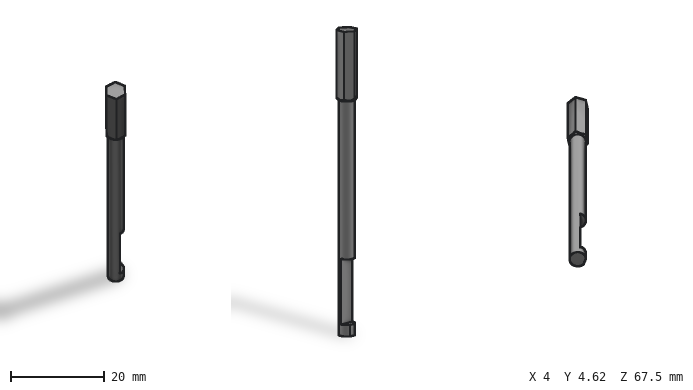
import cadquery as cq
import math

total_length = 67.5
hex_flats = 4.0
head_length = 15.5
cone_height = 0.55
shaft_diameter = 3.5
notch_top = 17.1
hook_height = 2.55
hook_reach = 1.6

hex_corners = hex_flats / math.cos(math.pi / 6)
corner_radius = hex_corners / 2
shaft_radius = shaft_diameter / 2
head_bottom = total_length - head_length


def hex_head():
    """Hexagonal drive whose lower corners taper conically to the shaft."""
    prism = (
        cq.Workplane("XY")
        .workplane(offset=head_bottom)
        .polygon(6, hex_corners)
        .extrude(head_length)
        .rotate((0, 0, 0), (0, 0, 1), 30)
    )
    envelope = (
        cq.Workplane("XZ")
        .moveTo(0, head_bottom)
        .lineTo(shaft_radius, head_bottom)
        .lineTo(corner_radius, head_bottom + cone_height)
        .lineTo(corner_radius, total_length)
        .lineTo(0, total_length)
        .close()
        .revolve(360, (0, 0, 0), (0, 1, 0))
    )
    return prism.intersect(envelope)


def shaft():
    """Round shaft from the tip up to the hexagonal head."""
    return cq.Workplane("XY").circle(shaft_radius).extrude(head_bottom)


def side_cutter(start_y, bottom, top):
    """Block covering everything of the shaft beyond start_y on the +Y side."""
    return (
        cq.Workplane("XY")
        .box(shaft_diameter, shaft_diameter, top - bottom, centered=(True, False, False))
        .translate((0, start_y, bottom))
    )


notch = side_cutter(0, hook_height, notch_top)
hook_flat = side_cutter(hook_reach, 0, hook_height)

result = shaft().union(hex_head()).cut(notch).cut(hook_flat)